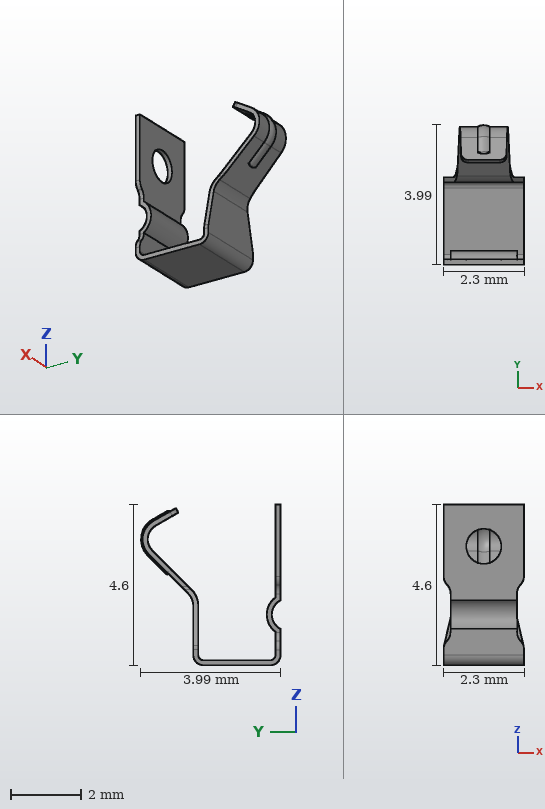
import cadquery as cq
import math

thickness = 0.15
width = 2.3
bend_inner_radius = 0.15
bend_outer_radius = bend_inner_radius + thickness
depth = 2.5
height = 4.6

hole_diameter = 1.0
hole_height = 3.4
curl_height = 1.45
curl_depth = 0.25
curl_inner_radius = 0.46
curl_outer_radius = curl_inner_radius + thickness
neck_width = 1.9
neck_bottom = 0.45
neck_top = 2.55
neck_shoulder = 0.5

wall_top = 1.7
knee_inner_radius = 0.5
knee_outer_radius = knee_inner_radius + thickness
lean_angle = 45.0
lean_length = 1.585
hook_inner_radius = 0.45
hook_outer_radius = hook_inner_radius + thickness
tip_angle = 30.0
tip_length = 0.75
tip_corner_radius = 0.2
taper_start_height = 0.515
taper_change_height = 2.22
taper_change_width = 1.5
tip_width = 1.28
taper_blend_radius = 0.5

bead_width = 0.354
bead_rise = 0.05
bead_lean_length = 0.75
bead_tip_length = 0.50


def polar(center, radius, degrees):
    """Point at an angle on a circle in the Y-Z plane."""
    angle = math.radians(degrees)
    return (center[0] + radius * math.cos(angle), center[1] + radius * math.sin(angle))


def along(point, degrees, distance):
    """Point moved in a straight line in the Y-Z plane."""
    return polar(point, distance, degrees)


lean_heading = lean_angle
tip_heading = 180.0 - tip_angle
knee_center = (depth + knee_inner_radius, wall_top)
knee_end = 90.0 + lean_angle
hook_start = lean_heading - 90.0
hook_end = tip_heading - 90.0
hook_middle = (hook_start + hook_end) / 2
hook_center = along(
    along(knee_center, lean_heading, lean_length),
    knee_end,
    knee_outer_radius + hook_inner_radius,
)
tip_inner = along(polar(hook_center, hook_inner_radius, hook_end), tip_heading, tip_length)
tip_outer = along(polar(hook_center, hook_outer_radius, hook_end), tip_heading, tip_length)


def make_folded_strip():
    """Full-width strip with the side profile of the whole clip."""
    bend_front = (bend_outer_radius, bend_outer_radius)
    bend_back = (depth - bend_outer_radius, bend_outer_radius)
    curl_center_y = curl_depth - curl_inner_radius
    hollow_half = math.sqrt(curl_inner_radius**2 - curl_center_y**2)
    bulge_half = math.sqrt(curl_outer_radius**2 - (thickness - curl_center_y) ** 2)
    knee_middle = (180.0 + knee_end) / 2
    profile = (
        cq.Workplane("YZ")
        .moveTo(0, height)
        .lineTo(0, curl_height + hollow_half)
        .threePointArc((curl_depth, curl_height), (0, curl_height - hollow_half))
        .lineTo(0, bend_outer_radius)
        .threePointArc(polar(bend_front, bend_outer_radius, 225), (bend_outer_radius, 0))
        .lineTo(bend_back[0], 0)
        .threePointArc(polar(bend_back, bend_outer_radius, 315), (depth, bend_outer_radius))
        .lineTo(depth, wall_top)
        .threePointArc(
            polar(knee_center, knee_inner_radius, knee_middle),
            polar(knee_center, knee_inner_radius, knee_end),
        )
        .lineTo(*polar(hook_center, hook_outer_radius, hook_start))
        .threePointArc(
            polar(hook_center, hook_outer_radius, hook_middle),
            polar(hook_center, hook_outer_radius, hook_end),
        )
        .lineTo(*tip_outer)
        .lineTo(*tip_inner)
        .lineTo(*polar(hook_center, hook_inner_radius, hook_end))
        .threePointArc(
            polar(hook_center, hook_inner_radius, hook_middle),
            polar(hook_center, hook_inner_radius, hook_start),
        )
        .lineTo(*polar(knee_center, knee_outer_radius, knee_end))
        .threePointArc(
            polar(knee_center, knee_outer_radius, knee_middle),
            (depth - thickness, wall_top),
        )
        .lineTo(depth - thickness, bend_outer_radius)
        .threePointArc(polar(bend_back, bend_inner_radius, 315), (bend_back[0], thickness))
        .lineTo(bend_front[0], thickness)
        .threePointArc(polar(bend_front, bend_inner_radius, 225), (thickness, bend_outer_radius))
        .lineTo(thickness, curl_height - bulge_half)
        .threePointArc(
            (curl_depth + thickness, curl_height),
            (thickness, curl_height + bulge_half),
        )
        .lineTo(thickness, height)
        .close()
    )
    return profile.extrude(width / 2, both=True)


def make_neck_notches():
    """Cutters that narrow the front wall at the curl, with S-shaped shoulders."""
    edge = width / 2
    neck = neck_width / 2
    middle = (edge + neck) / 2
    step = edge - neck
    shoulder_radius = (step**2 + neck_shoulder**2) / (4 * step)
    half_shoulder = neck_shoulder / 2
    notch = (
        cq.Workplane("XZ")
        .moveTo(edge, neck_top)
        .radiusArc((middle, neck_top - half_shoulder), shoulder_radius)
        .radiusArc((neck, neck_top - neck_shoulder), -shoulder_radius)
        .lineTo(neck, neck_bottom + neck_shoulder)
        .radiusArc((middle, neck_bottom + half_shoulder), -shoulder_radius)
        .radiusArc((edge, neck_bottom), shoulder_radius)
        .close()
        .extrude(-depth / 2)
    )
    return notch.union(notch.mirror("YZ"))


def make_arm_blank():
    """Block with the arm's tapered outline, reaching from behind the front wall past the hook."""
    blank_top = tip_outer[1]
    right_side = [
        (width / 2, 0),
        (width / 2, taper_start_height),
        (taper_change_width / 2, taper_change_height),
        (tip_width / 2, blank_top),
    ]
    left_side = [(-x, z) for x, z in reversed(right_side)]
    blank = cq.Workplane("XZ").polyline(right_side + left_side).close().extrude(-2 * depth)
    corners = blank.edges("|Y").edges(
        cq.selectors.BoxSelector(
            (-width, 0, taper_start_height / 2),
            (width, 2 * depth, (taper_change_height + blank_top) / 2),
        )
    )
    return corners.fillet(taper_blend_radius)


def make_front_blank():
    """Block that keeps the front wall and its curl at full width."""
    return cq.Workplane("XY").box(width, depth / 2, height, centered=(True, False, False))


def make_folded_clip():
    """Folded clip with its outline and hole, before the bead is let in."""
    strip = make_folded_strip()
    front = strip.intersect(make_front_blank()).cut(make_neck_notches())
    hole = (
        cq.Workplane("XZ")
        .center(0, hole_height)
        .circle(hole_diameter / 2)
        .extrude(-depth / 2)
    )
    arm_blank = make_arm_blank().cut(make_front_blank())
    around_tip = cq.selectors.BoxSelector(
        (-width, tip_inner[0] - thickness, tip_inner[1] - thickness),
        (width, tip_outer[0] + thickness, tip_outer[1] + thickness),
    )
    tip_edges = strip.intersect(arm_blank).edges(around_tip)
    tip_corners = tip_edges.filter(lambda edge: abs(edge.Length() - thickness) < thickness / 100)
    arm = tip_corners.fillet(tip_corner_radius)
    return front.cut(hole).union(arm)


bead_start = along(
    polar(hook_center, hook_inner_radius, hook_start), lean_heading, -bead_lean_length
)
bead_end = along(polar(hook_center, hook_inner_radius, hook_end), tip_heading, bead_tip_length)


def section_plane(point, heading):
    """Plane across the strip whose y axis points out of the arm's outer face."""
    angle = math.radians(heading)
    return cq.Plane(
        origin=(0, point[0], point[1]),
        xDir=(1, 0, 0),
        normal=(0, math.cos(angle), math.sin(angle)),
    )


def sweep_along_bead(section):
    """Carry a section drawn at the bead's lower end round the hook to its upper end."""
    path = (
        cq.Workplane("YZ")
        .moveTo(*bead_start)
        .lineTo(*polar(hook_center, hook_inner_radius, hook_start))
        .threePointArc(
            polar(hook_center, hook_inner_radius, hook_middle),
            polar(hook_center, hook_inner_radius, hook_end),
        )
        .lineTo(*bead_end)
    )
    return section.sweep(path)


def make_crown(level):
    """Rounded ridge standing on the arm at a level above its inner face, with domed ends."""
    half = bead_width / 2

    def crown_section(plane):
        return (
            cq.Workplane(plane)
            .moveTo(-half, level)
            .threePointArc((0, level + bead_rise), (half, level))
            .close()
        )

    crown = sweep_along_bead(crown_section(section_plane(bead_start, lean_heading)))
    for point, heading in ((bead_start, lean_heading), (bead_end, tip_heading)):
        dome = crown_section(section_plane(point, heading)).revolve(
            360, (-half, level), (half, level)
        )
        crown = crown.union(dome)
    return crown


def make_slot():
    """Rectangular passage through the arm along the bead."""
    section = (
        cq.Workplane(section_plane(bead_start, lean_heading))
        .center(0, thickness / 2)
        .rect(bead_width, thickness)
    )
    return sweep_along_bead(section)


folded_clip = make_folded_clip()
slot = make_slot()
groove = make_crown(0)
raised_crown = make_crown(thickness).cut(folded_clip)

bead = slot.union(raised_crown).cut(groove)
clip = folded_clip.cut(slot).cut(groove)

result = cq.Compound.makeCompound([clip.solids().val(), bead.solids().val()])